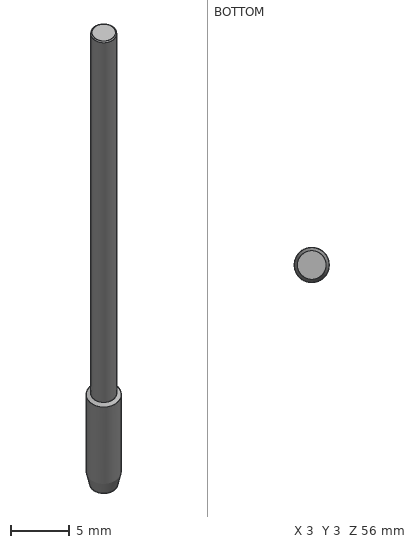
import cadquery as cq

total_length = 56.0
rod_radius = 1.1
rod_chamfer = 0.1
cap_radius = 1.5
cap_length = 11.2
tip_length = 1.45
tip_radius = 1.25
shoulder_height = 0.15

socket_floor = tip_length
shoulder_start = cap_length - shoulder_height


def make_rod():
    """Round rod with a bevelled upper end, seated on the floor of the cap socket."""
    rod_length = total_length - socket_floor
    blank = cq.Workplane("XY").workplane(offset=socket_floor).circle(rod_radius).extrude(rod_length)
    return blank.faces(">Z").chamfer(rod_chamfer)


def make_cap():
    """Turned end cap with a blind socket, a sloped shoulder and a conical tip."""
    profile = (
        cq.Workplane("XZ")
        .moveTo(0, 0)
        .lineTo(tip_radius, 0)
        .lineTo(cap_radius, tip_length)
        .lineTo(cap_radius, shoulder_start)
        .lineTo(rod_radius, cap_length)
        .lineTo(rod_radius, socket_floor)
        .lineTo(0, socket_floor)
        .close()
    )
    return profile.revolve(360, (0, 0, 0), (0, 1, 0))


rod = make_rod()
cap = make_cap()

result = cq.Compound.makeCompound([rod.val(), cap.val()])